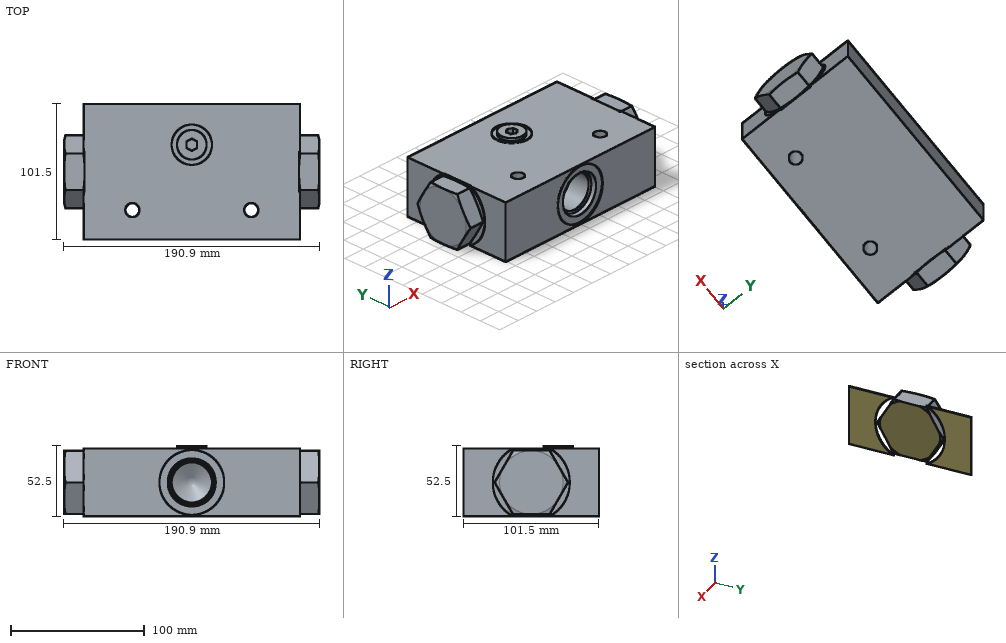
import cadquery as cq
import math

BLOCK_LENGTH = 161.9
BLOCK_WIDTH = 101.5
BLOCK_HEIGHT = 50.8

OVERALL_LENGTH = 190.9
HEX_ACROSS_FLATS = 47.5
HEX_CORNER_CHAMFER = 1.0
END_SPOTFACE_DIAMETER = 57.6
END_SPOTFACE_DEPTH = 0.8

PORT_SPOTFACE_DIAMETER = 48.5
PORT_SPOTFACE_DEPTH = 1.0
PORT_MOUTH_DIAMETER = 35.9
PORT_SEAT_DIAMETER = 34.0
PORT_SEAT_DEPTH = 4.0
PORT_THREAD_DIAMETER = 31.0
PORT_THREAD_START = 5.3
PORT_THREAD_END = 24.8
DRILL_DIAMETER = 30.2
DRILL_TIP_ANGLE = 118.0

SOCKET_PLUG_Y = 20.2
SOCKET_PLUG_DIAMETER = 22.1
SOCKET_PLUG_PROTRUSION = 1.7
SOCKET_PLUG_INSERTION = 9.5
SOCKET_ACROSS_FLATS = 8.0
SOCKET_DEPTH = 8.5
TOP_SPOTFACE_DIAMETER = 30.2
TOP_SPOTFACE_DEPTH = 0.8

MOUNTING_HOLE_DIAMETER = 10.3
MOUNTING_HOLE_SPACING = 89.0
MOUNTING_HOLE_Y = -28.6

BLOCK_TOP = BLOCK_HEIGHT / 2
BLOCK_FRONT = -BLOCK_WIDTH / 2
END_SEAT_X = BLOCK_LENGTH / 2 - END_SPOTFACE_DEPTH
HEX_ACROSS_CORNERS = HEX_ACROSS_FLATS / math.cos(math.pi / 6)
SOCKET_ACROSS_CORNERS = SOCKET_ACROSS_FLATS / math.cos(math.pi / 6)


def end_spotface(side):
    """Shallow round recess under one end plug; side is -1 or +1 along X."""
    return (
        cq.Workplane("YZ", origin=(side * END_SEAT_X, 0, 0))
        .circle(END_SPOTFACE_DIAMETER / 2)
        .extrude(side * END_SPOTFACE_DEPTH)
    )


def port_cavity():
    """Spotface, tapered seal seat, thread bore and narrower drill tip, revolved about the port axis."""
    mouth_y = BLOCK_FRONT + PORT_SPOTFACE_DEPTH
    thread_radius = PORT_THREAD_DIAMETER / 2
    drill_radius = DRILL_DIAMETER / 2
    tip_length = drill_radius / math.tan(math.radians(DRILL_TIP_ANGLE / 2))
    return (
        cq.Workplane("XY")
        .moveTo(0, BLOCK_FRONT)
        .lineTo(PORT_SPOTFACE_DIAMETER / 2, BLOCK_FRONT)
        .lineTo(PORT_SPOTFACE_DIAMETER / 2, mouth_y)
        .lineTo(PORT_MOUTH_DIAMETER / 2, mouth_y)
        .lineTo(PORT_SEAT_DIAMETER / 2, mouth_y + PORT_SEAT_DEPTH)
        .lineTo(thread_radius, mouth_y + PORT_THREAD_START)
        .lineTo(thread_radius, mouth_y + PORT_THREAD_END)
        .lineTo(drill_radius, mouth_y + PORT_THREAD_END)
        .lineTo(0, mouth_y + PORT_THREAD_END + tip_length)
        .close()
        .revolve(360, (0, 0, 0), (0, 1, 0))
    )


def socket_plug_pocket():
    """Spotface and matching bore for the socket plug."""
    top = cq.Workplane("XY", origin=(0, SOCKET_PLUG_Y, BLOCK_TOP))
    spotface = top.circle(TOP_SPOTFACE_DIAMETER / 2).extrude(-TOP_SPOTFACE_DEPTH)
    bore = top.circle(SOCKET_PLUG_DIAMETER / 2).extrude(-SOCKET_PLUG_INSERTION)
    return spotface.union(bore)


def mounting_holes():
    half_spacing = MOUNTING_HOLE_SPACING / 2
    return (
        cq.Workplane("XY", origin=(0, 0, -BLOCK_TOP))
        .pushPoints([(-half_spacing, MOUNTING_HOLE_Y), (half_spacing, MOUNTING_HOLE_Y)])
        .circle(MOUNTING_HOLE_DIAMETER / 2)
        .extrude(BLOCK_HEIGHT)
    )


def make_housing():
    block = cq.Workplane("XY").box(BLOCK_LENGTH, BLOCK_WIDTH, BLOCK_HEIGHT)
    for side in (-1, 1):
        block = block.cut(end_spotface(side))
    return block.cut(port_cavity()).cut(socket_plug_pocket()).cut(mounting_holes())


def make_end_plug(side):
    """Hexagonal plug with corners chamfered at both ends; side is -1 or +1 along X."""
    length = OVERALL_LENGTH / 2 - END_SEAT_X
    hexagon = (
        cq.Workplane("YZ", origin=(END_SEAT_X, 0, 0))
        .polygon(6, HEX_ACROSS_CORNERS)
        .extrude(length)
    )
    face_radius = HEX_ACROSS_FLATS / 2
    corner_radius = HEX_ACROSS_CORNERS / 2
    envelope = (
        cq.Workplane("XY", origin=(END_SEAT_X, 0, 0))
        .moveTo(0, 0)
        .lineTo(0, face_radius)
        .lineTo(HEX_CORNER_CHAMFER, corner_radius)
        .lineTo(length - HEX_CORNER_CHAMFER, corner_radius)
        .lineTo(length, face_radius)
        .lineTo(length, 0)
        .close()
        .revolve(360, (0, 0, 0), (1, 0, 0))
    )
    plug = hexagon.intersect(envelope)
    return plug if side > 0 else plug.mirror("YZ")


def make_socket_plug():
    """Round plug with a hexagonal socket, corners pointing along Y."""
    plug_top = BLOCK_TOP + SOCKET_PLUG_PROTRUSION
    top = cq.Workplane("XY", origin=(0, SOCKET_PLUG_Y, plug_top))
    length = SOCKET_PLUG_PROTRUSION + SOCKET_PLUG_INSERTION
    body = top.circle(SOCKET_PLUG_DIAMETER / 2).extrude(-length)
    socket = (
        top.transformed(rotate=(0, 0, 90))
        .polygon(6, SOCKET_ACROSS_CORNERS)
        .extrude(-SOCKET_DEPTH)
    )
    return body.cut(socket)


housing = make_housing()
end_plugs = [make_end_plug(side) for side in (-1, 1)]
socket_plug = make_socket_plug()

result = cq.Compound.makeCompound(
    [housing.val(), *[plug.val() for plug in end_plugs], socket_plug.val()]
)